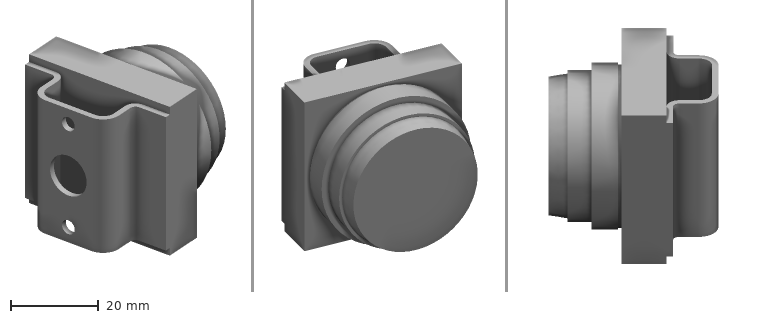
import cadquery as cq

block_width = 40.0
block_height = 39.0
block_depth = 10.25

bracket_height = 35.0
sheet = 1.5
hat_width = 22.0
hat_depth = 11.8
inner_bend = 1.5
outer_bend = inner_bend + sheet
corner_inner = 3.0
corner_outer = corner_inner + sheet

center_hole_diameter = 10.4
screw_hole_diameter = 3.6
screw_hole_offset = 13.5

neck_diameter = 37.2
neck_length = 0.8
collar_diameter = 38.0
collar_length = 6.0
barrel_diameter = 34.55
barrel_length = 5.45
tip_base_diameter = 32.95
tip_end_diameter = 31.6
tip_length = 4.3


def make_block():
    return cq.Workplane("XY").box(
        block_width, block_depth, block_height, centered=(True, False, True)
    )


def hat_area(half_width, depth, foot_bend, corner, top):
    """Prism of a hat outline below Y = top, with rounded feet and corners."""
    profile = (
        cq.Workplane("XY")
        .moveTo(-half_width - foot_bend, top)
        .radiusArc((-half_width, top - foot_bend), foot_bend)
        .lineTo(-half_width, corner - depth)
        .radiusArc((corner - half_width, -depth), -corner)
        .lineTo(half_width - corner, -depth)
        .radiusArc((half_width, corner - depth), -corner)
        .lineTo(half_width, top - foot_bend)
        .radiusArc((half_width + foot_bend, top), foot_bend)
        .close()
    )
    return profile.extrude(bracket_height / 2, both=True)


def make_bracket():
    half_width = hat_width / 2
    flanges = cq.Workplane("XY").box(
        block_width, sheet, bracket_height, centered=(True, False, True)
    ).translate((0, -sheet, 0))
    outside = hat_area(half_width, hat_depth, inner_bend, corner_outer, -sheet)
    inside = hat_area(half_width - sheet, hat_depth - sheet, outer_bend, corner_inner, 0)
    bracket = flanges.union(outside).cut(inside)

    web_holes = (
        cq.Workplane("XZ")
        .circle(center_hole_diameter / 2)
        .pushPoints([(0, -screw_hole_offset), (0, screw_hole_offset)])
        .circle(screw_hole_diameter / 2)
        .extrude(hat_depth)
    )
    return bracket.cut(web_holes)


def make_head():
    """Stepped head with a tapered tip, revolved about the Y axis."""
    neck_end = block_depth + neck_length
    collar_end = neck_end + collar_length
    barrel_end = collar_end + barrel_length
    tip_end = barrel_end + tip_length
    outline = [
        (0, block_depth),
        (neck_diameter / 2, block_depth),
        (neck_diameter / 2, neck_end),
        (collar_diameter / 2, neck_end),
        (collar_diameter / 2, collar_end),
        (barrel_diameter / 2, collar_end),
        (barrel_diameter / 2, barrel_end),
        (tip_base_diameter / 2, barrel_end),
        (tip_end_diameter / 2, tip_end),
        (0, tip_end),
    ]
    return cq.Workplane("XY").polyline(outline).close().revolve(360, (0, 0, 0), (0, 1, 0))


result = make_block().union(make_bracket()).union(make_head())